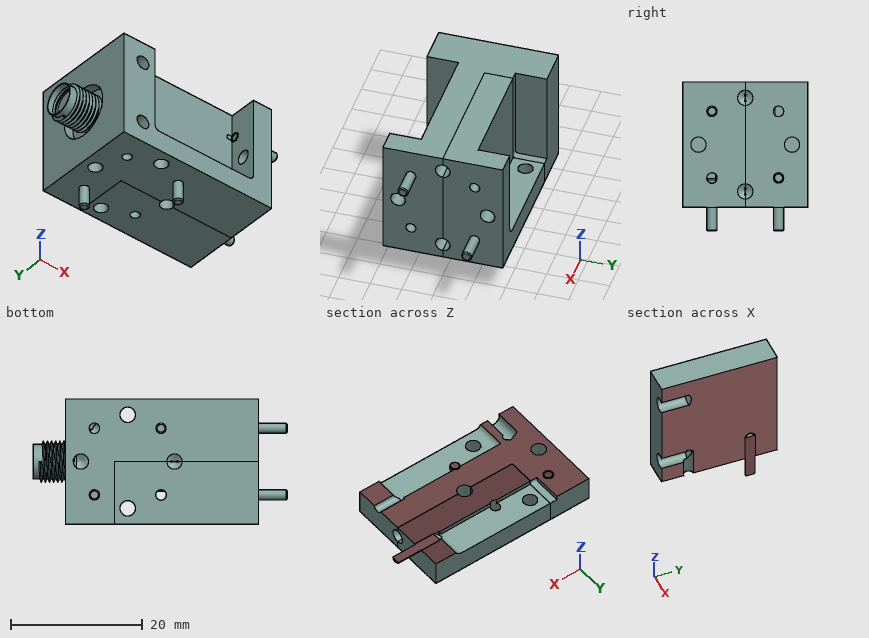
import cadquery as cq
import math

block_length = 29.37
block_width = 19.05
block_height = 19.05
half_width = block_width / 2
mid_height = block_height / 2

wall = 3.65
web_half = 4.52
pocket_start = 6.2
pocket_end = block_length - wall
front_corner_radius = 0.93
back_corner_radius = 1.5

cover_start = 7.45
ledge_fillet = 0.45

connector_length = 4.9
recess_diameter = 9.0
recess_depth = 1.65
barrel_diameter = 5.35
barrel_bore_diameter = 5.1
barrel_bore_depth = 1.95
thread_length = 5.02
thread_turns = 8
thread_pitch = thread_length / thread_turns
thread_height = 0.5
thread_width = 0.45
thread_start = 1.1
thread_sink = 0.05

bottom_flange_x = 9.45
pin_offset = 5.05
screw_offset = 7.1
screw_hole_diameter = 2.3
flange_screw_depth = 5.05
drill_depth = 4.55
drill_point_angle = 118.0

pin_diameter = 1.6
pin_chamfer = 0.2
pilot_diameter = 1.35
end_pin_reach = 4.35
bottom_pin_reach = 3.65
pin_length = end_pin_reach + wall
mating_hole_diameter = pin_diameter

front_hole_x = 3.8
front_hole_offset = 5.72

UP = cq.Vector(0, 0, 1)
BACK = cq.Vector(0, 1, 0)
RIGHT = cq.Vector(1, 0, 0)


def cylinder(start, direction, diameter, length):
    return cq.Workplane(cq.Solid.makeCylinder(diameter / 2, length, start, direction))


def drilled_hole(start, direction, diameter, depth=drill_depth):
    """Cutter for a blind drilled hole: a straight bore with a conical point."""
    radius = diameter / 2
    point_length = radius / math.tan(math.radians(drill_point_angle / 2))
    point = cq.Solid.makeCone(radius, 0, point_length, start + direction * depth, direction)
    return cylinder(start, direction, diameter, depth).union(cq.Workplane(point))


def pin_seat(place, inward, reach):
    """Cutter for a dowel pin hole: a narrower pilot hole, bored out as deep as the pin sits."""
    bore = cylinder(place, inward, pin_diameter, pin_length - reach)
    return drilled_hole(place, inward, pilot_diameter).union(bore)


def bottom_place(along, across):
    """A place on the bottom face, measured from the centre of the bottom flange."""
    return cq.Vector(bottom_flange_x + along, across, 0)


def end_place(along, across):
    """A place on the +X face, measured from the centre of the end flange."""
    return cq.Vector(block_length, across, mid_height + along)


flanges = [(bottom_place, UP, bottom_pin_reach), (end_place, -RIGHT, end_pin_reach)]

pin_places = [(pin_offset, -pin_offset), (-pin_offset, pin_offset)]
mating_hole_places = [(pin_offset, pin_offset), (-pin_offset, -pin_offset)]
screw_places = [(0, screw_offset), (0, -screw_offset), (screw_offset, 0), (-screw_offset, 0)]


def side_pocket(start_x):
    """Box open at the top and at +Y, to be cut from the back of the web outward."""
    return cq.Workplane().box(
        pocket_end - start_x, half_width - web_half, block_height - wall, centered=False
    ).translate((start_x, web_half, wall))


def front_pocket():
    pocket = side_pocket(pocket_start).edges("|Y and <Z").fillet(front_corner_radius)
    return pocket.mirror("XZ")


def back_pocket():
    """Pocket in the cover, plus a short stretch over the body with a rounded inner edge."""
    in_cover = side_pocket(cover_start).edges("|Y and <Z and >X").fillet(back_corner_radius)
    over_body = side_pocket(pocket_start).edges("|X and <Z and <Y").fillet(ledge_fillet)
    return in_cover.union(over_body.cut(cover_region()))


def cover_region():
    return cq.Workplane().box(
        block_length - cover_start, half_width, block_height, centered=False
    ).translate((cover_start, 0, 0))


def make_block():
    """The whole block with every pocket, recess and hole, before it is split in two."""
    block = cq.Workplane().box(block_length, block_width, block_height, centered=(False, True, False))
    block = block.cut(front_pocket()).cut(back_pocket())
    block = block.cut(cylinder(cq.Vector(0, 0, mid_height), RIGHT, recess_diameter, recess_depth))
    for place, inward, reach in flanges:
        for along, across in screw_places:
            screw_hole = drilled_hole(place(along, across), inward, screw_hole_diameter, flange_screw_depth)
            block = block.cut(screw_hole)
        for along, across in mating_hole_places:
            block = block.cut(drilled_hole(place(along, across), inward, mating_hole_diameter))
        for along, across in pin_places:
            block = block.cut(pin_seat(place(along, across), inward, reach))
    for side in (-1, 1):
        place = cq.Vector(front_hole_x, -half_width, mid_height + side * front_hole_offset)
        block = block.cut(drilled_hole(place, BACK, screw_hole_diameter))
    return block


def make_pin(place, inward, reach):
    """Dowel pin chamfered at both ends, standing out of the block by its reach."""
    shank = cylinder(place - inward * reach, inward, pin_diameter, pin_length)
    return shank.edges("%CIRCLE").chamfer(pin_chamfer)


def make_thread():
    """Right-handed V ridge wound around the barrel, built along Z from its start."""
    root = barrel_diameter / 2 - thread_sink
    crest = barrel_diameter / 2 + thread_height
    helix = cq.Wire.makeHelix(thread_pitch, thread_length, root)
    profile = cq.Workplane("XZ").polyline(
        [(root, -thread_width / 2), (crest, 0), (root, thread_width / 2)]
    ).close()
    return profile.sweep(cq.Workplane(helix), isFrenet=True)


def make_connector():
    """Threaded barrel with a thin-walled socket in its outer end, standing on the recess floor."""
    barrel = cq.Workplane().circle(barrel_diameter / 2).extrude(connector_length + recess_depth)
    barrel = barrel.union(make_thread().translate((0, 0, thread_start)))
    barrel = barrel.cut(cq.Workplane().circle(barrel_bore_diameter / 2).extrude(barrel_bore_depth))
    barrel = barrel.rotate((0, 0, 0), (0, 1, 0), 90)
    return barrel.translate((-connector_length, 0, mid_height))


block = make_block()
body = block.cut(cover_region())
cover = block.intersect(cover_region())
connector = make_connector()
pins = []
for place, inward, reach in flanges:
    for along, across in pin_places:
        pins.append(make_pin(place(along, across), inward, reach).val())

result = cq.Compound.makeCompound([body.val(), cover.val(), connector.val(), *pins])